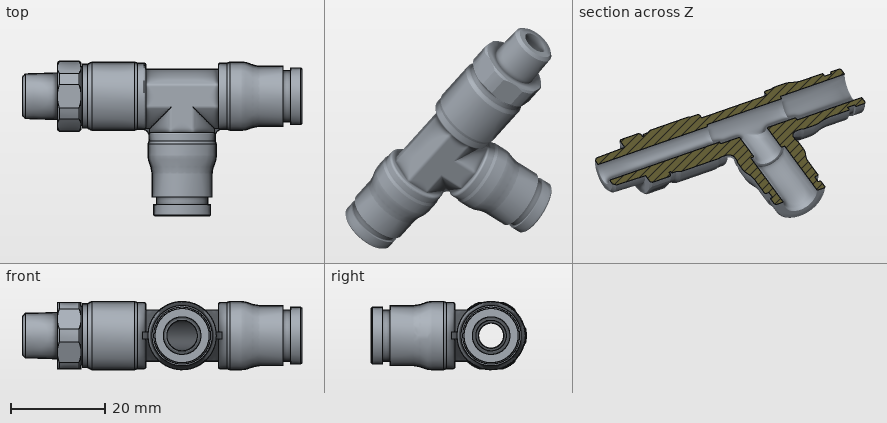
import cadquery as cq
import math

PORT_REACH = 25.5
STUD_REACH = 33.95

SHOULDER = 7.7
SHOULDER_FILLET = 0.45
COLLAR_END = 9.5
BODY_START = 10.15
BODY_END = 12.65
WAIST_START = 16.45
WAIST_END = 21.45
RELEASE_RING_START = 23.05
COLLAR_RADIUS = 7.05
BODY_RADIUS = 7.265
WAIST_RADIUS = 6.4
RELEASE_NECK_RADIUS = 5.48
RELEASE_RING_RADIUS = 6.05
RELEASE_RING_CHAMFER = 0.3

TUBE_RADIUS = 4.0
TUBE_STOP = BODY_START
FLOW_RADIUS = 3.24
FLOW_BORE_OVERRUN = SHOULDER
STUD_BORE_RADIUS = 2.65

SWIVEL_END = 19.2
SWIVEL_BREAK = 19.55
SWIVEL_BREAK_RADIUS = 7.1
SLEEVE_START = 20.1
SLEEVE_END = 21.2
SLEEVE_RADIUS = 6.8
GROOVE_RADIUS = 6.27

HEX_INNER = 21.5
HEX_OUTER = 26.5
HEX_ACROSS_FLATS = 14.15
HEX_CORNER_RADIUS = 7.5
HEX_CHAMFER = 0.4

GAUGE_DISTANCE = 29.95
GAUGE_RADIUS = 9.728 / 2
TAPER = 1 / 32
TIP_CHAMFER = 0.65

BLOCK_HALF_HEIGHT = 5.45
FLAT_HALF_WIDTH = 2.45
FLAT_EDGE_FILLET = 0.8
BACK_Y = 5.75
RIDGE_OFFSET = 6.9
RIDGE_HALF_HEIGHT = 0.76
COLLAR_OVERLAP = 1.0
BLOCK_END = SHOULDER + COLLAR_OVERLAP

WEB_RADIUS = 1.4


def revolve_run(profile):
    """Revolve a closed half profile about the X axis."""
    return profile.close().revolve(360, (0, 0, 0), (1, 0, 0))


def to_branch(shape):
    """Turn a +X port into the -Y port."""
    return shape.rotate((0, 0, 0), (0, 0, 1), -90)


def collar_profile():
    """Open half profile of a collar from the axis to the start of the body, toward +X."""
    fillet_mid = SHOULDER_FILLET * (1 - math.sqrt(0.5))
    return (
        cq.Workplane("XY")
        .moveTo(SHOULDER, 0)
        .lineTo(SHOULDER, COLLAR_RADIUS - SHOULDER_FILLET)
        .threePointArc(
            (SHOULDER + fillet_mid, COLLAR_RADIUS - fillet_mid),
            (SHOULDER + SHOULDER_FILLET, COLLAR_RADIUS),
        )
        .lineTo(COLLAR_END, COLLAR_RADIUS)
        .lineTo(BODY_START, BODY_RADIUS)
    )


def port_shell():
    """Outside of one push-in port, pointing to +X."""
    profile = (
        collar_profile()
        .lineTo(BODY_END, BODY_RADIUS)
        .spline([(WAIST_START, WAIST_RADIUS)], tangents=[(1, 0), (1, 0)], includeCurrent=True)
        .lineTo(WAIST_END, WAIST_RADIUS)
        .lineTo(WAIST_END, RELEASE_NECK_RADIUS)
        .lineTo(RELEASE_RING_START, RELEASE_NECK_RADIUS)
        .lineTo(RELEASE_RING_START, RELEASE_RING_RADIUS)
        .lineTo(PORT_REACH - RELEASE_RING_CHAMFER, RELEASE_RING_RADIUS)
        .lineTo(PORT_REACH, RELEASE_RING_RADIUS - RELEASE_RING_CHAMFER)
        .lineTo(PORT_REACH, 0)
    )
    return revolve_run(profile)


def port_bore(overrun):
    """Flow bore from the overrun behind the origin, with the wider tube socket, toward +X."""
    flow = cq.Workplane("YZ", origin=(-overrun, 0, 0)).circle(FLOW_RADIUS)
    flow = flow.extrude(overrun + PORT_REACH)
    socket = cq.Workplane("YZ", origin=(TUBE_STOP, 0, 0)).circle(TUBE_RADIUS)
    return flow.union(socket.extrude(PORT_REACH - TUBE_STOP))


def thread_radius(distance):
    """Radius of the tapered thread at a distance from the origin."""
    return GAUGE_RADIUS - TAPER * (distance - GAUGE_DISTANCE)


def swivel_and_stud():
    """Swivel body, sleeve, groove and tapered thread, pointing to -X."""
    tip_start = STUD_REACH - TIP_CHAMFER
    profile = (
        collar_profile()
        .lineTo(SWIVEL_END, BODY_RADIUS)
        .lineTo(SWIVEL_BREAK, SWIVEL_BREAK_RADIUS)
        .lineTo(SLEEVE_START, SLEEVE_RADIUS)
        .lineTo(SLEEVE_END, SLEEVE_RADIUS)
        .lineTo(SLEEVE_END, GROOVE_RADIUS)
        .lineTo(HEX_OUTER, GROOVE_RADIUS)
        .lineTo(HEX_OUTER, thread_radius(HEX_OUTER))
        .lineTo(tip_start, thread_radius(tip_start))
        .lineTo(STUD_REACH, thread_radius(tip_start) - TIP_CHAMFER)
        .lineTo(STUD_REACH, 0)
    )
    return revolve_run(profile).mirror("YZ")


def hexagon():
    """Wrench hexagon with flats on +Z and -Z and turned corners."""
    width = HEX_OUTER - HEX_INNER
    across_corners = HEX_ACROSS_FLATS / math.cos(math.radians(30))
    plane = cq.Workplane("YZ", origin=(-HEX_OUTER, 0, 0))
    prism = plane.polygon(6, across_corners).extrude(width)
    turned = plane.circle(HEX_CORNER_RADIUS).extrude(width).edges().chamfer(HEX_CHAMFER)
    return prism.intersect(turned)


def upper_arm(plane, rear_reach, length):
    """Upper half of one arm: a flat top with rounded edges and two sloping sides."""
    return (
        plane.moveTo(rear_reach, RIDGE_HALF_HEIGHT)
        .lineTo(FLAT_HALF_WIDTH, BLOCK_HALF_HEIGHT)
        .lineTo(-FLAT_HALF_WIDTH, BLOCK_HALF_HEIGHT)
        .lineTo(-RIDGE_OFFSET, RIDGE_HALF_HEIGHT)
        .lineTo(-RIDGE_OFFSET, 0)
        .lineTo(rear_reach, 0)
        .close()
        .extrude(length)
        .faces(">Z")
        .edges(cq.selectors.ParallelDirSelector(plane.plane.zDir))
        .fillet(FLAT_EDGE_FILLET)
    )


def tee_block():
    """Faceted block joining the three ports."""
    run = upper_arm(cq.Workplane("YZ", origin=(-BLOCK_END, 0, 0)), BACK_Y, 2 * BLOCK_END)
    branch = upper_arm(cq.Workplane("XZ"), RIDGE_OFFSET, BLOCK_END)
    upper = run.union(branch)
    return upper.union(upper.mirror("XY"))


def corner_webs():
    """Thin webs with a concave edge in the two corners beside the branch."""
    inner = RIDGE_OFFSET - WEB_RADIUS
    outer = COLLAR_RADIUS + WEB_RADIUS
    arc_mid = outer - WEB_RADIUS * math.sqrt(0.5)
    web = (
        cq.Workplane("XY", origin=(0, 0, -RIDGE_HALF_HEIGHT))
        .moveTo(inner, -inner)
        .lineTo(outer, -inner)
        .lineTo(outer, -COLLAR_RADIUS)
        .threePointArc((arc_mid, -arc_mid), (COLLAR_RADIUS, -outer))
        .lineTo(inner, -outer)
        .close()
        .extrude(2 * RIDGE_HALF_HEIGHT)
    )
    return web.union(web.mirror("YZ"))


body = tee_block().union(corner_webs()).union(swivel_and_stud()).union(hexagon())
body = body.union(port_shell()).union(to_branch(port_shell()))

stud_bore = cq.Workplane("YZ").circle(STUD_BORE_RADIUS).extrude(-STUD_REACH)
result = body.cut(port_bore(FLOW_BORE_OVERRUN)).cut(to_branch(port_bore(0))).cut(stud_bore)